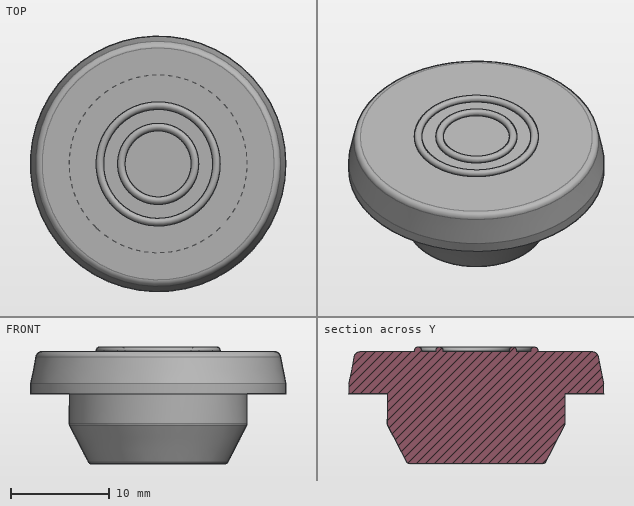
import cadquery as cq

stem_radius = 9.05
stem_tip_radius = 7.0
stem_taper_height = 4.0
stem_edge_fillet = 0.4

flange_radius = 13
flange_bottom = 7.13
rim_top = 8.17
flange_top = 11.45
flange_top_radius = 12.35
flange_fillet = 0.68

overall_height = 11.92
bead_radius = 0.4
ring_radii = (3.75, 5.93)


def make_stem():
    """Revolved plug with a tapered lower end and softened edges."""
    profile = [
        (0, 0),
        (stem_tip_radius, 0),
        (stem_radius, stem_taper_height),
        (stem_radius, flange_bottom),
        (0, flange_bottom),
    ]
    stem = cq.Workplane("XZ").polyline(profile).close().revolve(360, (0, 0), (0, 1))
    taper_edges = stem.faces("%CONE").edges("%CIRCLE")
    return taper_edges.fillet(stem_edge_fillet)


def make_flange():
    """Revolved disc with a straight rim, sloping side and rounded top edge."""
    profile = [
        (0, flange_bottom),
        (flange_radius, flange_bottom),
        (flange_radius, rim_top),
        (flange_top_radius, flange_top),
        (0, flange_top),
    ]
    flange = cq.Workplane("XZ").polyline(profile).close().revolve(360, (0, 0), (0, 1))
    return flange.faces(">Z").edges().fillet(flange_fillet)


def make_ring(ring_radius):
    """Raised ring with short straight walls and a semicircular crown."""
    crown_base = overall_height - bead_radius
    inner = ring_radius - bead_radius
    outer = ring_radius + bead_radius
    return (
        cq.Workplane("XZ")
        .moveTo(inner, flange_top)
        .lineTo(outer, flange_top)
        .lineTo(outer, crown_base)
        .threePointArc((ring_radius, overall_height), (inner, crown_base))
        .close()
        .revolve(360, (0, 0), (0, 1))
    )


result = make_flange().union(make_stem())
for ring_radius in ring_radii:
    result = result.union(make_ring(ring_radius))